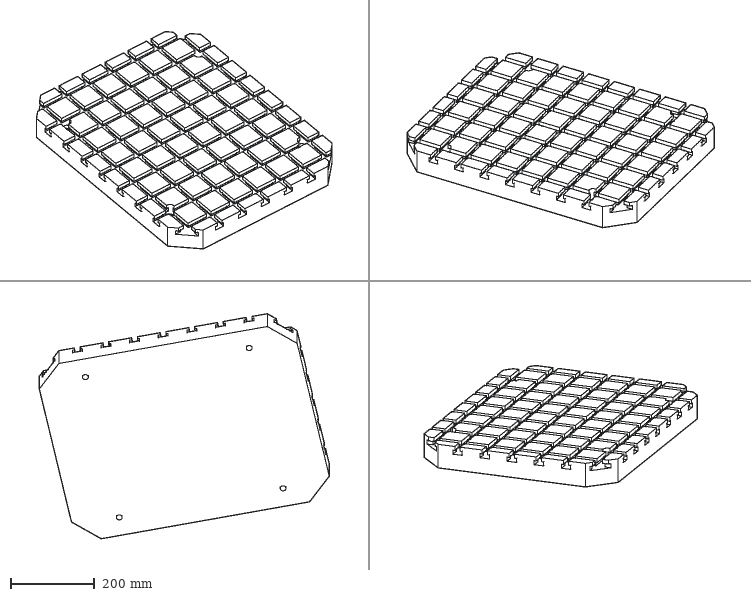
import cadquery as cq

LENGTH = 630.0
WIDTH = 500.0
HEIGHT = 60.0
CORNER_CUT = 60.5

SLOT_PITCH = 70.0
SLOTS_ALONG_Y = 9
SLOTS_ALONG_X = 7
NECK_WIDTH = 14.0
NECK_DEPTH = 10.0
UNDERCUT_WIDTH = 24.0
SLOT_DEPTH = 20.0

HOLE_SPACING = 400.0
HOLE_DIAMETER = 14.0
COUNTERBORE_DIAMETER = 20.0
COUNTERBORE_DEPTH = 30.0


def make_plate():
    """Plate standing on Z = 0, centred in X and Y, with its four upright corners cut off."""
    plate = cq.Workplane("XY").box(LENGTH, WIDTH, HEIGHT, centered=(True, True, False))
    return plate.edges("|Z").chamfer(CORNER_CUT)


def slot_bar(plane, length, offset):
    """T-shaped bar centred on the plane's origin, shifted sideways by offset."""
    undercut_height = SLOT_DEPTH - NECK_DEPTH
    floor = HEIGHT - SLOT_DEPTH
    undercut = (
        cq.Workplane(plane)
        .center(offset, floor + undercut_height / 2)
        .rect(UNDERCUT_WIDTH, undercut_height)
        .extrude(length / 2, both=True)
    )
    neck = (
        cq.Workplane(plane)
        .center(offset, floor + SLOT_DEPTH / 2)
        .rect(NECK_WIDTH, SLOT_DEPTH)
        .extrude(length / 2, both=True)
    )
    return undercut.union(neck)


def cut_slots(body, plane, length, count):
    """Cut a row of evenly spaced T-slots, symmetric about the plate centre."""
    for index in range(count):
        offset = (index - (count - 1) / 2) * SLOT_PITCH
        body = body.cut(slot_bar(plane, length, offset))
    return body


def drill_mounting_holes(body):
    """Through holes whose counterbores reach below the slot floors."""
    hole_centres = (
        cq.Workplane("XY")
        .workplane(offset=HEIGHT)
        .rect(HOLE_SPACING, HOLE_SPACING, forConstruction=True)
        .vertices()
    )
    holes = hole_centres.circle(HOLE_DIAMETER / 2).extrude(-HEIGHT)
    counterbores = hole_centres.circle(COUNTERBORE_DIAMETER / 2).extrude(-COUNTERBORE_DEPTH)
    return body.cut(holes).cut(counterbores)


def drop_loose_tips(body):
    """Keep the plate only: the outer slot crossings undercut a tiny tip at each cut corner."""
    plate = max(body.solids().vals(), key=lambda solid: solid.Volume())
    return cq.Workplane("XY").newObject([plate])


result = make_plate()
result = cut_slots(result, "XZ", WIDTH, SLOTS_ALONG_Y)
result = cut_slots(result, "YZ", LENGTH, SLOTS_ALONG_X)
result = drop_loose_tips(result)
result = drill_mounting_holes(result)